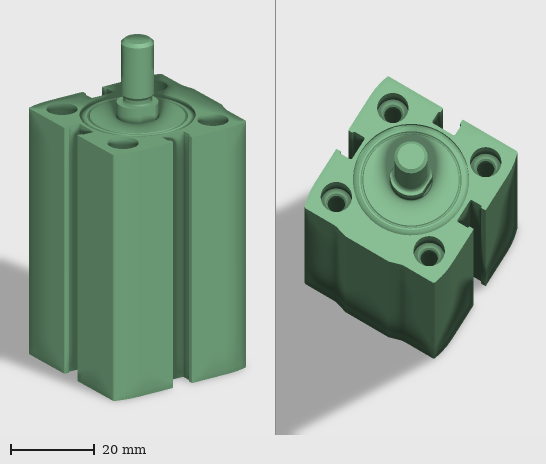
import cadquery as cq
import math


total_height = 83.0
housing_height = 63.5
half_width = 19.25
flat_half_length = 12.7
side_arc_radius = 20.0
corner_fillet = 0.6
hump_rise = 1.0
hump_top_half_width = 6.0
hump_base_half_width = 9.4
hump_fillet = 4.0

slot_mouth_width = 5.4
slot_inner_width = 6.4
slot_lip = 1.25
slot_depth = 4.5
slot_fillet = 0.4
lip_edge_fillet = 0.2

hole_offset = 13.0
counterbore_diameter = 7.5
counterbore_depth = 5.5
thread_diameter = 4.13
thread_mouth_diameter = 5.0

recess_diameter = 27.8
recess_depth = 0.9
cap_rim_diameter = 25.0
cap_face_drop = 0.2
cap_groove_outer_diameter = 24.2
cap_groove_inner_diameter = 22.8
cap_groove_floor_width = 0.3
cap_groove_depth = 0.3

rod_diameter = 10.0
rod_flat_width = 9.0
rod_insertion = 12.0
rod_mouth_diameter = 10.5
shoulder_height = 3.4
neck_diameter = 6.4
neck_fillet = 0.6
neck_height = 1.45
thread_outer_diameter = 8.0
thread_chamfer = 0.8


def fillet_upright_edges(body, positions, radius):
    """Round the full-height housing edges that stand at the given (x, y) positions."""
    reach = 0.1
    for x, y in positions:
        around = cq.selectors.BoxSelector(
            (x - reach, y - reach, 0),
            (x + reach, y + reach, housing_height),
        )
        body = body.edges("|Z").edges(around).fillet(radius)
    return body


def housing_blank():
    """Extruded outline: square with arched side ends and a low hump on +Y."""
    arc_angle = math.asin((half_width - flat_half_length) / side_arc_radius)

    def arc_x(angle):
        return half_width - side_arc_radius * (1 - math.cos(angle))

    def arc_y(angle):
        return flat_half_length + side_arc_radius * math.sin(angle)

    corner_x = arc_x(arc_angle)
    mid_x = arc_x(arc_angle / 2)
    mid_y = arc_y(arc_angle / 2)
    blank = (
        cq.Workplane("XY")
        .moveTo(-corner_x, -half_width)
        .lineTo(corner_x, -half_width)
        .threePointArc((mid_x, -mid_y), (half_width, -flat_half_length))
        .lineTo(half_width, flat_half_length)
        .threePointArc((mid_x, mid_y), (corner_x, half_width))
        .lineTo(hump_base_half_width, half_width)
        .lineTo(hump_top_half_width, half_width + hump_rise)
        .lineTo(-hump_top_half_width, half_width + hump_rise)
        .lineTo(-hump_base_half_width, half_width)
        .lineTo(-corner_x, half_width)
        .threePointArc((-mid_x, mid_y), (-half_width, flat_half_length))
        .lineTo(-half_width, -flat_half_length)
        .threePointArc((-mid_x, -mid_y), (-corner_x, -half_width))
        .close()
        .extrude(housing_height)
    )
    corners = [(x, y) for x in (-corner_x, corner_x) for y in (-half_width, half_width)]
    hump_ends = [(x, half_width) for x in (-hump_base_half_width, hump_base_half_width)]
    blank = fillet_upright_edges(blank, corners, corner_fillet)
    return fillet_upright_edges(blank, hump_ends, hump_fillet)


def slot_cutter():
    """T-slot cutter for the -Y face."""
    inner_length = slot_depth - slot_lip
    inner = (
        cq.Workplane("XY")
        .center(0, -half_width + slot_lip + inner_length / 2)
        .rect(slot_inner_width, inner_length)
        .extrude(housing_height)
        .edges("|Z")
        .fillet(slot_fillet)
    )
    mouth = (
        cq.Workplane("XY")
        .center(0, -half_width + slot_depth / 2)
        .rect(slot_mouth_width, slot_depth)
        .extrude(housing_height)
    )
    return inner.union(mouth)


def mounting_hole_cutter():
    """Counterbore, countersunk thread mouth and through hole, as one turned shape."""
    thread_radius = thread_diameter / 2
    mouth_radius = thread_mouth_diameter / 2
    counterbore_radius = counterbore_diameter / 2
    floor_z = housing_height - counterbore_depth
    return (
        cq.Workplane("XZ")
        .lineTo(thread_radius, 0)
        .lineTo(thread_radius, floor_z - (mouth_radius - thread_radius))
        .lineTo(mouth_radius, floor_z)
        .lineTo(counterbore_radius, floor_z)
        .lineTo(counterbore_radius, housing_height)
        .lineTo(0, housing_height)
        .close()
        .revolve()
    )


def cap_cutter():
    """Removes the top recess, the rod bore and its flared mouth, leaving the bevelled end cap."""
    rim_radius = cap_rim_diameter / 2
    rod_radius = rod_diameter / 2
    mouth_radius = rod_mouth_diameter / 2
    face_z = housing_height - cap_face_drop
    groove_z = face_z - cap_groove_depth
    groove_inner_radius = cap_groove_inner_diameter / 2
    groove_outer_radius = cap_groove_outer_diameter / 2
    groove_middle_radius = (groove_inner_radius + groove_outer_radius) / 2
    return (
        cq.Workplane("XZ")
        .moveTo(0, housing_height - rod_insertion)
        .lineTo(rod_radius, housing_height - rod_insertion)
        .lineTo(rod_radius, face_z - (mouth_radius - rod_radius))
        .lineTo(mouth_radius, face_z)
        .lineTo(groove_inner_radius, face_z)
        .lineTo(groove_middle_radius - cap_groove_floor_width / 2, groove_z)
        .lineTo(groove_middle_radius + cap_groove_floor_width / 2, groove_z)
        .lineTo(groove_outer_radius, face_z)
        .lineTo(rim_radius, face_z)
        .lineTo(recess_diameter / 2, housing_height - recess_depth)
        .lineTo(recess_diameter / 2, housing_height)
        .lineTo(0, housing_height)
        .close()
        .revolve()
    )


def make_housing():
    housing = housing_blank()
    for angle in (-90, 0, 90):
        housing = housing.cut(slot_cutter().rotate((0, 0, 0), (0, 0, 1), angle))
    slot_edges = []
    for side in (-1, 1):
        slot_edges.append((side * slot_mouth_width / 2, -half_width))
        for face in (-1, 1):
            slot_edges.append((face * half_width, side * slot_mouth_width / 2))
    housing = fillet_upright_edges(housing, slot_edges, lip_edge_fillet)
    for x in (-hole_offset, hole_offset):
        for y in (-hole_offset, hole_offset):
            housing = housing.cut(mounting_hole_cutter().translate((x, y, 0)))
    return housing.cut(cap_cutter())


def make_rod():
    """Turned rod with two wrench flats on its shoulder and a chamfered threaded end."""
    rod_radius = rod_diameter / 2
    neck_radius = neck_diameter / 2
    thread_radius = thread_outer_diameter / 2
    bottom_z = housing_height - rod_insertion
    shoulder_z = housing_height + shoulder_height
    neck_top_z = shoulder_z + neck_height
    relief_tangent = neck_fillet * math.tan(math.pi / 8)
    relief_tangent_leg = relief_tangent * math.sin(math.pi / 4)
    rod = (
        cq.Workplane("XZ")
        .moveTo(0, bottom_z)
        .lineTo(rod_radius, bottom_z)
        .lineTo(rod_radius, shoulder_z)
        .lineTo(neck_radius + neck_fillet, shoulder_z)
        .radiusArc((neck_radius, shoulder_z + neck_fillet), neck_fillet)
        .lineTo(neck_radius, neck_top_z - relief_tangent)
        .radiusArc((neck_radius + relief_tangent_leg, neck_top_z + relief_tangent_leg), neck_fillet)
        .lineTo(thread_radius, neck_top_z + thread_radius - neck_radius)
        .lineTo(thread_radius, total_height - thread_chamfer)
        .lineTo(thread_radius - thread_chamfer, total_height)
        .lineTo(0, total_height)
        .close()
        .revolve()
    )
    flats_bottom_z = housing_height - cap_face_drop
    flat_height = shoulder_z - flats_bottom_z
    flat_depth = (rod_diameter - rod_flat_width) / 2
    for side in (-1, 1):
        flat = (
            cq.Workplane("XY", origin=(side * (rod_flat_width + flat_depth) / 2, 0, flats_bottom_z))
            .rect(flat_depth, rod_diameter)
            .extrude(flat_height)
        )
        rod = rod.cut(flat)
    return rod


housing = make_housing()
rod = make_rod()
result = cq.Compound.makeCompound([housing.val(), rod.val()])